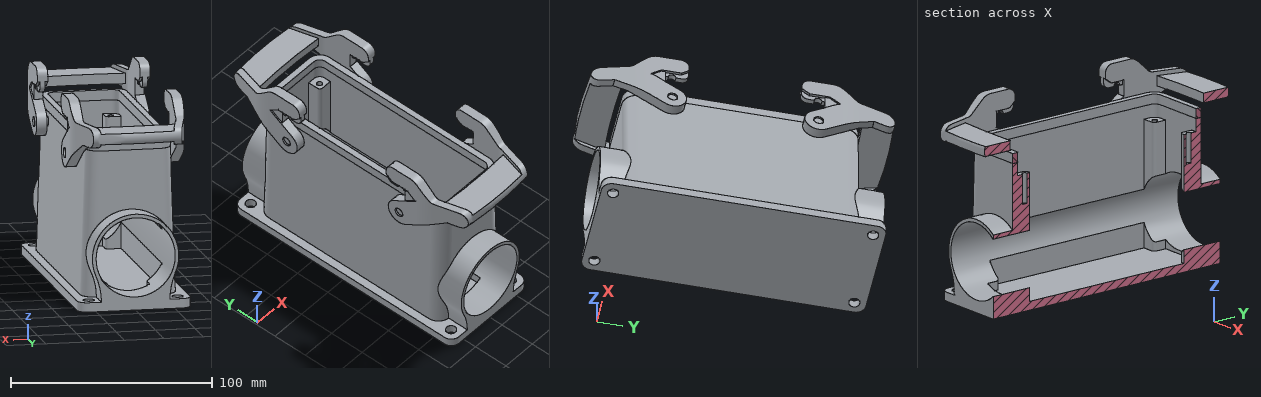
import math

import cadquery as cq

BASE_WIDTH = 57.5
BASE_LENGTH = 144.5
BASE_HEIGHT = 4.9
BASE_CORNER_RADIUS = 5.2
MOUNT_SPACING_X = 45.0
MOUNT_SPACING_Y = 132.0
MOUNT_HOLE_DIAMETER = 5.5

HOUSING_LENGTH = 120.0
HOUSING_TOP = 84.2
RIM_HEIGHT = 5.2
RIM_WIDTH = 43.2
FOOT_WIDTH = 48.2
WALL_CORNER_RADIUS = 7.4
WALL = 3.5
RIM_START = HOUSING_TOP - RIM_HEIGHT

POST_TOP = 72.0
SCREW_SPACING_X = 27.0
SCREW_SPACING_Y = 104.2
SCREW_HOLE_DIAMETER = 2.8
SCREW_HOLE_DEPTH = 15.7
POST_REACH = 3.1
POST_CORNER_RADIUS = 1.9

ENTRY_RADIUS = 22
ENTRY_BORE_RADIUS = 20.1
ENTRY_HEIGHT = 26.8
NECK_RADIUS = 33

LEVER_TOP = 103.0
LEVER_END = 78.5
ARM_OUTER = BASE_WIDTH / 2
ARM_THICKNESS = 5.3
ARM_INNER = ARM_OUTER - ARM_THICKNESS
PIVOT_Y = 37.0
PIVOT_Z = 74.0
LEG_RADIUS = 7.0
LEG_ANGLE = math.radians(32)
PIN_RADIUS = 2.5
PIN_SINK = 1.0
PIN_END = 20.3

HANDLE_HEIGHT = 9.9
HANDLE_Z = 88.5
HANDLE_BOW_RADIUS = 204.1
HANDLE_DEPTH = 18.8
BAR_INNER_EDGE = 61.7
BAR_INNER_BOW_RADIUS = 314
BAR_THICKNESS = 5.3
ARM_LEAN = math.radians(15)
BEND_START = 49.1
OUTER_BEND_RADIUS = 34.5
HANDLE_ARM_THICKNESS = 4.0
INNER_BEND_RADIUS = 11.8

HOOK_TIP = 28.5
HOOK_TIP_RADIUS = 4.5
HOOK_BOTTOM = 93.0
HOOK_BEVEL_START = 32.5
HOOK_BEVEL_TOP = 96.0
BACK_TOP_Y = 47.3
BACK_BOTTOM_Y = 57.5
BACK_TOP_RADIUS = 7.8
BACK_BOTTOM_RADIUS = 4.0
WEB_EDGE = 40.5
RECESS_DEPTH = 0.8
RECESS_APEX_Y = 47.9
RECESS_CORNER_Y = 42.7
LIP_BOTTOM = 90.1
LIP_THICKNESS = 2.7
LIP_CORNER_RADIUS = 3.5
CATCH_RADIUS = 1.9


def make_walls():
    """Outer form of the housing walls, with sides that lean inward up to the rim."""
    rim_half = RIM_WIDTH / 2
    foot_half = FOOT_WIDTH / 2
    walls = (
        cq.Workplane("XZ")
        .moveTo(-foot_half, BASE_HEIGHT)
        .lineTo(foot_half, BASE_HEIGHT)
        .lineTo(rim_half, RIM_START)
        .lineTo(-rim_half, RIM_START)
        .close()
        .extrude(HOUSING_LENGTH / 2, both=True)
    )
    return walls.edges("not(#Z or |Y)").fillet(WALL_CORNER_RADIUS)


def make_base():
    """Base flange with four mounting holes."""
    base = cq.Workplane("XY").rect(BASE_WIDTH, BASE_LENGTH).extrude(BASE_HEIGHT)
    base = base.edges("|Z").fillet(BASE_CORNER_RADIUS)
    return (
        base.faces(">Z").workplane(origin=(0, 0, 0))
        .rect(MOUNT_SPACING_X, MOUNT_SPACING_Y, forConstruction=True).vertices()
        .hole(MOUNT_HOLE_DIAMETER)
    )


def make_entries():
    """Round cable entry running from end to end, on a neck with concave flanks."""
    rise = ENTRY_HEIGHT - BASE_HEIGHT
    blend = math.asin(rise / (ENTRY_RADIUS + NECK_RADIUS))
    flank_x = (ENTRY_RADIUS + NECK_RADIUS) * math.cos(blend)
    tangent_x = ENTRY_RADIUS * math.cos(blend)
    tangent_z = ENTRY_HEIGHT - ENTRY_RADIUS * math.sin(blend)
    middle_x = flank_x - NECK_RADIUS * math.cos(blend / 2)
    middle_z = BASE_HEIGHT + NECK_RADIUS * math.sin(blend / 2)
    foot_x = flank_x - NECK_RADIUS
    return (
        cq.Workplane("XZ")
        .moveTo(-foot_x, 0)
        .lineTo(foot_x, 0)
        .lineTo(foot_x, BASE_HEIGHT)
        .threePointArc((middle_x, middle_z), (tangent_x, tangent_z))
        .threePointArc((0, ENTRY_HEIGHT + ENTRY_RADIUS), (-tangent_x, tangent_z))
        .threePointArc((-middle_x, middle_z), (-foot_x, BASE_HEIGHT))
        .close()
        .extrude(BASE_LENGTH / 2, both=True)
    )


def make_cavity():
    """Straight-sided interior, open at the top."""
    cavity = (
        cq.Workplane("XY", origin=(0, 0, BASE_HEIGHT))
        .rect(RIM_WIDTH - 2 * WALL, HOUSING_LENGTH - 2 * WALL)
        .extrude(HOUSING_TOP - BASE_HEIGHT)
    )
    return cavity.edges("|Z").fillet(WALL_CORNER_RADIUS - WALL)


def make_posts(cavity):
    """Four corner posts, cut to the shape of the cavity, with blind screw holes."""
    posts = cq.Workplane("XY")
    inner_x = SCREW_SPACING_X / 2 - POST_REACH
    inner_y = SCREW_SPACING_Y / 2 - POST_REACH
    size_x = RIM_WIDTH / 2 - inner_x
    size_y = HOUSING_LENGTH / 2 - inner_y
    for side_x in (-1, 1):
        for side_y in (-1, 1):
            post = (
                cq.Workplane("XY", origin=(0, 0, BASE_HEIGHT))
                .center(side_x * (inner_x + size_x / 2), side_y * (inner_y + size_y / 2))
                .rect(size_x, size_y)
                .extrude(POST_TOP - BASE_HEIGHT)
            )
            free_corner = cq.NearestToPointSelector((side_x * inner_x, side_y * inner_y, POST_TOP / 2))
            post = post.edges(free_corner).fillet(POST_CORNER_RADIUS)
            posts = posts.add(post)
    posts = posts.combine().intersect(cavity)
    screw_holes = (
        cq.Workplane("XY", origin=(0, 0, POST_TOP))
        .rect(SCREW_SPACING_X, SCREW_SPACING_Y, forConstruction=True).vertices()
        .circle(SCREW_HOLE_DIAMETER / 2)
        .extrude(-SCREW_HOLE_DEPTH)
    )
    return posts.cut(screw_holes)


def extrude_across(outline, inner_x, outer_x):
    """Extrude a closed YZ outline between two X positions."""
    return outline.extrude(outer_x - inner_x).translate((inner_x, 0, 0))


def leg_upper_z(y):
    """Height of the upper edge of the leg at a given Y."""
    return PIVOT_Z + LEG_RADIUS / math.cos(LEG_ANGLE) + (y - PIVOT_Y) * math.tan(LEG_ANGLE)


def handle_ring():
    """Bowed strip of the full handle height and a fully rounded outer edge."""
    half = HANDLE_HEIGHT / 2
    bow_y = LEVER_END - HANDLE_BOW_RADIUS
    inner = HANDLE_BOW_RADIUS - HANDLE_DEPTH
    half_sweep = 10
    return (
        cq.Workplane("XZ")
        .moveTo(inner, -half)
        .lineTo(HANDLE_BOW_RADIUS - half, -half)
        .threePointArc((HANDLE_BOW_RADIUS, 0), (HANDLE_BOW_RADIUS - half, half))
        .lineTo(inner, half)
        .close()
        .revolve(2 * half_sweep, (0, 0, 0), (0, 1, 0))
        .rotate((0, 0, 0), (0, 0, 1), 90 - half_sweep)
        .translate((0, bow_y, HANDLE_Z))
    )


def lever_side_block():
    """Leg, web and hook profile over the full lever width, ending where the bowed handle takes over."""
    handle_top = HANDLE_Z + HANDLE_HEIGHT / 2
    handle_bottom = HANDLE_Z - HANDLE_HEIGHT / 2
    handle_start = LEVER_END - HANDLE_DEPTH / 2
    sin_leg = math.sin(LEG_ANGLE)
    cos_leg = math.cos(LEG_ANGLE)
    lower_tangent = (PIVOT_Y + LEG_RADIUS * sin_leg, PIVOT_Z - LEG_RADIUS * cos_leg)
    upper_tangent = (PIVOT_Y - LEG_RADIUS * sin_leg, PIVOT_Z + LEG_RADIUS * cos_leg)
    leg_end = (PIVOT_Y - LEG_RADIUS * cos_leg, PIVOT_Z - LEG_RADIUS * sin_leg)
    leg_meets_handle = lower_tangent[0] + (handle_bottom - lower_tangent[1]) / math.tan(LEG_ANGLE)
    outline = (
        cq.Workplane("YZ")
        .moveTo(handle_start, handle_bottom)
        .lineTo(handle_start, handle_top)
        .lineTo(BACK_BOTTOM_Y, handle_top)
        .lineTo(BACK_TOP_Y, LEVER_TOP)
        .lineTo(HOOK_TIP, LEVER_TOP)
        .lineTo(HOOK_TIP, HOOK_BEVEL_TOP)
        .lineTo(HOOK_BEVEL_START, HOOK_BOTTOM)
        .lineTo(WEB_EDGE, HOOK_BOTTOM)
        .lineTo(WEB_EDGE, leg_upper_z(WEB_EDGE))
        .lineTo(*upper_tangent)
        .threePointArc(leg_end, lower_tangent)
        .lineTo(leg_meets_handle, handle_bottom)
        .close()
    )
    block = extrude_across(outline, -ARM_OUTER, ARM_OUTER)
    corners = (
        (BACK_BOTTOM_Y, handle_top, BACK_BOTTOM_RADIUS),
        (BACK_TOP_Y, LEVER_TOP, BACK_TOP_RADIUS),
        (HOOK_TIP, LEVER_TOP, HOOK_TIP_RADIUS),
    )
    for y, z, radius in corners:
        block = block.edges(cq.NearestToPointSelector((0, y, z))).fillet(radius)
    return block


def arm_plan():
    """Plan of the +X arm: straight beside the housing, then leaning inward along the handle.

    Also gives the corner points of the half bar, which fills the space from X = 0 to that arm.
    """
    lean_slope = math.tan(ARM_LEAN)
    plan_end = LEVER_END + HANDLE_ARM_THICKNESS
    bend_end_y = BEND_START + OUTER_BEND_RADIUS * math.sin(ARM_LEAN)
    bend_end_x = ARM_OUTER - OUTER_BEND_RADIUS * (1 - math.cos(ARM_LEAN))
    bend_middle_y = BEND_START + OUTER_BEND_RADIUS * math.sin(ARM_LEAN / 2)
    bend_middle_x = ARM_OUTER - OUTER_BEND_RADIUS * (1 - math.cos(ARM_LEAN / 2))
    outer_end_x = bend_end_x - (plan_end - bend_end_y) * lean_slope
    inner_end_x = outer_end_x - HANDLE_ARM_THICKNESS / math.cos(ARM_LEAN)
    inner_corner_y = plan_end - (ARM_INNER - inner_end_x) / lean_slope
    plan = (
        cq.Workplane("XY")
        .moveTo(ARM_INNER, 0)
        .lineTo(ARM_OUTER, 0)
        .lineTo(ARM_OUTER, BEND_START)
        .threePointArc((bend_middle_x, bend_middle_y), (bend_end_x, bend_end_y))
        .lineTo(outer_end_x, plan_end)
        .lineTo(inner_end_x, plan_end)
        .lineTo(ARM_INNER, inner_corner_y)
        .close()
        .extrude(LEVER_TOP)
    )
    inner_corner = cq.NearestToPointSelector((ARM_INNER, inner_corner_y, LEVER_TOP / 2))
    plan = plan.edges(inner_corner).fillet(INNER_BEND_RADIUS)
    bar_plan = [(0, 0), (ARM_INNER, 0), (ARM_INNER, inner_corner_y), (inner_end_x, plan_end), (0, plan_end)]
    return plan, bar_plan


def web_recess():
    """Shallow wedge-shaped recess in the outer face of the arm, between leg and hook."""
    outline = (
        cq.Workplane("YZ")
        .moveTo(RECESS_APEX_Y, leg_upper_z(RECESS_APEX_Y))
        .lineTo(RECESS_CORNER_Y, HOOK_BOTTOM)
        .lineTo(WEB_EDGE, HOOK_BOTTOM)
        .lineTo(WEB_EDGE, leg_upper_z(WEB_EDGE))
        .close()
    )
    return extrude_across(outline, ARM_OUTER - RECESS_DEPTH, ARM_OUTER)


def hook_lip():
    """Thin lip under the hook, midway through the arm thickness, with a round catch."""
    inner_x = (ARM_INNER + ARM_OUTER - LIP_THICKNESS) / 2
    lip = extrude_across(
        cq.Workplane("YZ").moveTo(HOOK_TIP, LIP_BOTTOM).lineTo(WEB_EDGE, LIP_BOTTOM)
        .lineTo(WEB_EDGE, HOOK_BEVEL_TOP).lineTo(HOOK_TIP, HOOK_BEVEL_TOP).close(),
        inner_x, inner_x + LIP_THICKNESS,
    )
    tip_corner = cq.NearestToPointSelector((inner_x + LIP_THICKNESS / 2, HOOK_TIP, LIP_BOTTOM))
    lip = lip.edges(tip_corner).fillet(LIP_CORNER_RADIUS)
    catch = cq.Workplane("YZ").center(PIVOT_Y, LIP_BOTTOM).circle(CATCH_RADIUS)
    return lip.cut(extrude_across(catch, 0, ARM_OUTER))


def pivot_cylinder(inner_x, outer_x):
    """Stretch of the pivot pin between two X positions."""
    return extrude_across(cq.Workplane("YZ").center(PIVOT_Y, PIVOT_Z).circle(PIN_RADIUS), inner_x, outer_x)


def make_lever():
    """Complete lever of the +Y end, built as one half and mirrored across X = 0."""
    ring = handle_ring()
    plan, bar_plan = arm_plan()
    arm = lever_side_block().union(ring).intersect(plan)
    arm = arm.cut(web_recess()).union(hook_lip())
    arm = arm.union(pivot_cylinder(PIN_END, ARM_OUTER)).cut(pivot_cylinder(ARM_OUTER - PIN_SINK, ARM_OUTER))
    bar_slab = (
        cq.Workplane("XY", origin=(0, 0, HANDLE_Z - BAR_THICKNESS / 2))
        .polyline(bar_plan).close().extrude(BAR_THICKNESS)
    )
    inner_bow = (
        cq.Workplane("XY")
        .center(0, BAR_INNER_EDGE - BAR_INNER_BOW_RADIUS)
        .circle(BAR_INNER_BOW_RADIUS)
        .extrude(LEVER_TOP)
    )
    half = arm.union(bar_slab.intersect(ring).cut(inner_bow))
    return half.union(half.mirror("YZ"))


def make_rim():
    """Straight rim, a separate frame seated on top of the walls."""
    rim = cq.Workplane("XY", origin=(0, 0, RIM_START)).rect(RIM_WIDTH, HOUSING_LENGTH).extrude(RIM_HEIGHT)
    return rim.edges("|Z").fillet(WALL_CORNER_RADIUS).cut(make_cavity())


def make_housing():
    """Base, walls, cable entries and posts, with both levers joined on by their pins."""
    cavity = make_cavity()
    bore = (
        cq.Workplane("XZ", origin=(0, 0, ENTRY_HEIGHT))
        .circle(ENTRY_BORE_RADIUS)
        .extrude(BASE_LENGTH / 2, both=True)
    )
    shell = make_base().union(make_walls()).union(make_entries()).cut(cavity)
    housing = shell.union(make_posts(cavity)).cut(bore)
    lever = make_lever()
    return housing.union(lever).union(lever.mirror("XZ"))


housing = make_housing()
rim = make_rim()

result = cq.Compound.makeCompound([housing.val(), rim.val()])